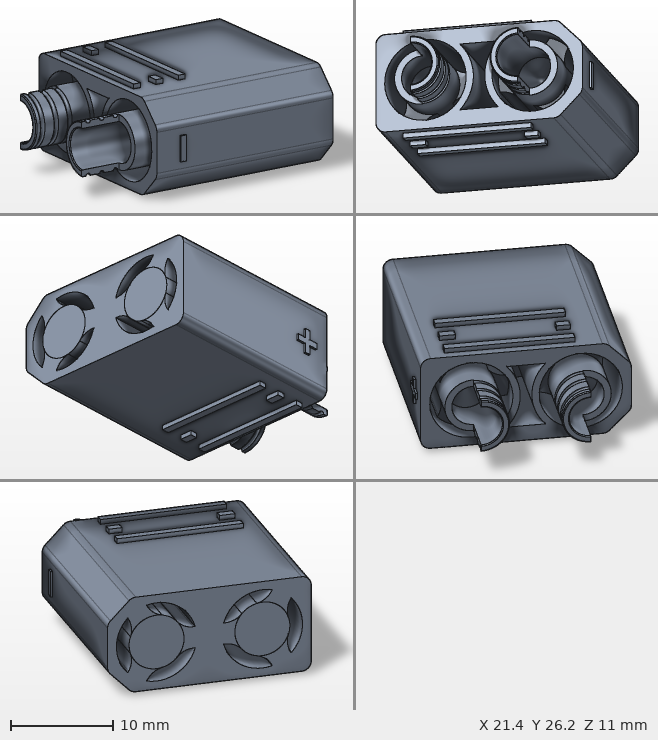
import cadquery as cq
import math


HOUSING_WIDTH = 20.99
HOUSING_LENGTH = 20.7
HOUSING_HEIGHT = 10.0
EDGE_RADIUS = 1.0
KEY_CHAMFER = 2.5

CHANNEL_SPACING = 10.9
CHANNEL_RADIUS = 4.15
WEB_DEPTH = 2.4
WEB_WIDTH = 2.25
WEB_FILLET = 2.25
WEB_COUNT = 3

CHANNEL_WALL = 0.73
RECESS_HEIGHT = 6.75
RECESS_DEPTH = 9.95

BAR_RISE = 0.5
BAR_WIDTH = 0.8
BAR_LENGTH = 13.0
BAR_PITCH = 2.62
BAR_CENTER_X = -1.47
MIDDLE_BAR_Y = 3.9
LEFT_SHORT_BAR_LENGTH = 1.57
RIGHT_SHORT_BAR_LENGTH = 1.35

MARK_RISE = 0.2
MARK_LENGTH = 2.67
MARK_STROKE = 0.65
MARK_CENTER_Y = 3.0

CONTACT_RADIUS = 2.83
CONTACT_REACH = 5.5
COLLAR_REACH = 1.1
CUP_RADIUS = 2.12
DRILL_POINT_ANGLE = 118.0
TIP_CHAMFER = 0.1
GROOVE_RADIUS = 0.25
GROOVE_FIRST = 1.52
GROOVE_PITCH = 1.6
GROOVE_COUNT = 3

CHANNEL_X = CHANNEL_SPACING / 2
SIDES = (-1, 1)


def box_between(x_range, y_range, z_range):
    """Box given by its lower and upper limits along each axis."""
    limits = (x_range, y_range, z_range)
    sizes = [high - low for low, high in limits]
    corner = cq.Vector(*[low for low, high in limits])
    return cq.Workplane(cq.Solid.makeBox(*sizes, corner))


def cylinder_along_y(radius, start_y, end_y, x=0.0):
    return cq.Workplane(
        cq.Solid.makeCylinder(radius, end_y - start_y, cq.Vector(x, start_y, 0), cq.Vector(0, 1, 0))
    )


def extrude_to_rear(sketch, start_y, length):
    """Extrude a profile drawn in X and Z on the "XZ" plane towards +Y, starting at start_y."""
    return sketch.extrude(-length).translate((0, start_y, 0))



def housing_block():
    """Block with rounded edges along Y and two large chamfers that key it on the +X side."""
    block = cq.Workplane("XY").box(HOUSING_WIDTH, HOUSING_LENGTH, HOUSING_HEIGHT)
    block = block.edges("|Y and >X").chamfer(KEY_CHAMFER)
    block = block.edges("|Y").fillet(EDGE_RADIUS)
    return block.translate((0, HOUSING_LENGTH / 2, 0))


def web():
    """Web lying towards +X from a contact, flaring where it meets the contact."""
    half_width = WEB_WIDTH / 2
    fillet_z = half_width + WEB_FILLET
    fillet_distance = CONTACT_RADIUS + WEB_FILLET
    flare_end_x = math.sqrt(fillet_distance**2 - fillet_z**2)
    contact_share = CONTACT_RADIUS / fillet_distance
    root_x = flare_end_x * contact_share
    root_z = fillet_z * contact_share
    root_angle = math.atan2(fillet_z, flare_end_x)
    middle_angle = math.pi + (root_angle + math.pi / 2) / 2
    middle_x = flare_end_x + WEB_FILLET * math.cos(middle_angle)
    middle_z = fillet_z + WEB_FILLET * math.sin(middle_angle)
    outer_x = CHANNEL_RADIUS + CHANNEL_WALL / 2
    profile = (
        cq.Workplane("XZ")
        .moveTo(0, -root_z)
        .lineTo(root_x, -root_z)
        .threePointArc((middle_x, -middle_z), (flare_end_x, -half_width))
        .lineTo(outer_x, -half_width)
        .lineTo(outer_x, half_width)
        .lineTo(flare_end_x, half_width)
        .threePointArc((middle_x, middle_z), (root_x, root_z))
        .lineTo(0, root_z)
        .close()
    )
    return extrude_to_rear(profile, WEB_DEPTH, HOUSING_LENGTH - WEB_DEPTH)


def channel(side):
    """Space cut for one contact: a round channel less its webs, plus the bore for the contact."""
    space = cylinder_along_y(CHANNEL_RADIUS, 0, HOUSING_LENGTH)
    first_angle = 0 if side < 0 else 180
    for index in range(WEB_COUNT):
        angle = first_angle + index * 360 / WEB_COUNT
        space = space.cut(web().rotate((0, 0, 0), (0, 1, 0), angle))
    space = space.union(cylinder_along_y(CONTACT_RADIUS, 0, HOUSING_LENGTH))
    return space.translate((side * CHANNEL_X, 0, 0))


def waist_recess():
    """Blind recess that leaves an even wall around both channels."""
    half_height = RECESS_HEIGHT / 2
    wall_radius = CHANNEL_RADIUS + CHANNEL_WALL
    recess = box_between((-CHANNEL_X, CHANNEL_X), (0, RECESS_DEPTH), (-half_height, half_height))
    for side in SIDES:
        recess = recess.cut(cylinder_along_y(wall_radius, 0, RECESS_DEPTH, side * CHANNEL_X))
    return recess


def raised_bars():
    """Two long bars with two short ones between them, on both the top and the bottom face."""
    start_x = BAR_CENTER_X - BAR_LENGTH / 2
    end_x = BAR_CENTER_X + BAR_LENGTH / 2
    outlines = [
        (start_x, end_x, MIDDLE_BAR_Y - BAR_PITCH),
        (start_x, end_x, MIDDLE_BAR_Y + BAR_PITCH),
        (start_x, start_x + LEFT_SHORT_BAR_LENGTH, MIDDLE_BAR_Y),
        (end_x - RIGHT_SHORT_BAR_LENGTH, end_x, MIDDLE_BAR_Y),
    ]
    face_z = HOUSING_HEIGHT / 2
    bar_z = face_z + BAR_RISE
    bars = cq.Workplane("XY")
    for low_x, high_x, y in outlines:
        y_range = (y - BAR_WIDTH / 2, y + BAR_WIDTH / 2)
        bars = bars.add(box_between((low_x, high_x), y_range, (face_z, bar_z)))
        bars = bars.add(box_between((low_x, high_x), y_range, (-bar_z, -face_z)))
    return bars


def mark_stroke(side, size_y, size_z):
    """One straight stroke of a polarity mark on the -X or +X face."""
    face_x = HOUSING_WIDTH / 2
    x_range = sorted((side * face_x, side * (face_x + MARK_RISE)))
    return box_between(
        x_range,
        (MARK_CENTER_Y - size_y / 2, MARK_CENTER_Y + size_y / 2),
        (-size_z / 2, size_z / 2),
    )


def make_housing():
    housing = housing_block()
    for side in SIDES:
        housing = housing.cut(channel(side))
    housing = housing.cut(waist_recess())
    for bar in raised_bars().vals():
        housing = housing.union(cq.Workplane(bar))
    for side in SIDES:
        housing = housing.union(mark_stroke(side, MARK_STROKE, MARK_LENGTH))
    return housing.union(mark_stroke(-1, MARK_LENGTH, MARK_STROKE))



def cup_bore():
    """Round bore from the tip to the depth of the webs, with a drill-point bottom."""
    point_length = CUP_RADIUS / math.tan(math.radians(DRILL_POINT_ANGLE / 2))
    return (
        cq.Workplane("XY")
        .moveTo(0, -CONTACT_REACH)
        .lineTo(CUP_RADIUS + TIP_CHAMFER, -CONTACT_REACH)
        .lineTo(CUP_RADIUS, -CONTACT_REACH + TIP_CHAMFER)
        .lineTo(CUP_RADIUS, WEB_DEPTH)
        .lineTo(0, WEB_DEPTH + point_length)
        .close()
        .revolve(360, (0, 0), (0, 1))
    )


def make_contact(side):
    """Rod with a grooved solder cup in front, whose outward half is cut away past the collar."""
    contact = cylinder_along_y(CONTACT_RADIUS, -CONTACT_REACH, HOUSING_LENGTH)
    contact = contact.faces("<Y").edges().chamfer(TIP_CHAMFER)
    contact = contact.cut(cup_bore())
    for index in range(GROOVE_COUNT):
        groove_y = -(GROOVE_FIRST + index * GROOVE_PITCH)
        groove_center = cq.Vector(0, groove_y, 0)
        groove = cq.Solid.makeTorus(CONTACT_RADIUS, GROOVE_RADIUS, groove_center, cq.Vector(0, 1, 0))
        contact = contact.cut(cq.Workplane(groove))
    opening = box_between(
        sorted((0, side * CONTACT_RADIUS)),
        (-CONTACT_REACH, -COLLAR_REACH),
        (-CONTACT_RADIUS, CONTACT_RADIUS),
    )
    return contact.cut(opening).translate((side * CHANNEL_X, 0, 0))


housing = make_housing()
contacts = [make_contact(side) for side in SIDES]

result = cq.Compound.makeCompound([housing.val(), *[contact.val() for contact in contacts]])